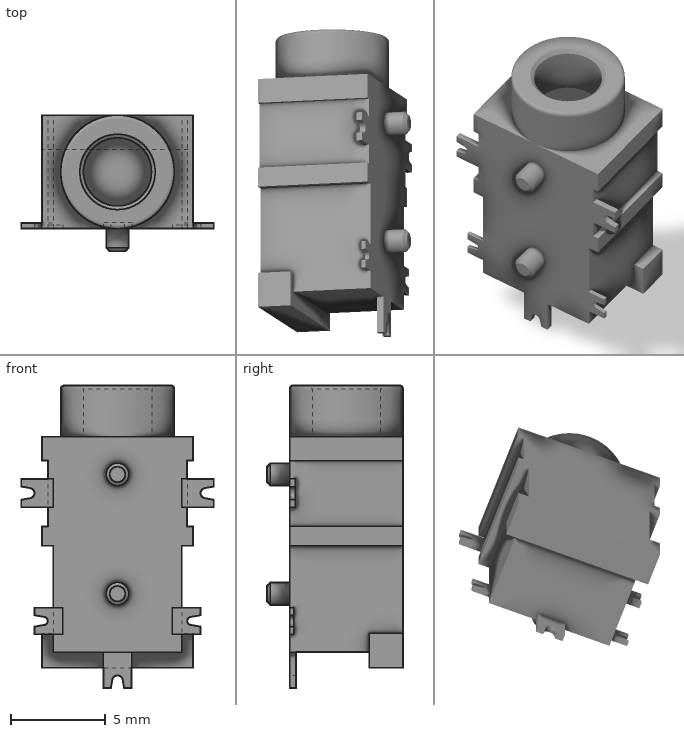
import cadquery as cq
import math


total_height = 16.0
collar_height = 2.7
head_height = 1.28
recess_height = 3.47
rib_height = 1.02
body_bottom = 1.9

body_top = total_height - collar_height
head_bottom = body_top - head_height
rib_top = head_bottom - recess_height
rib_bottom = rib_top - rib_height

body_width = 8.0
recess_width = 7.36
lower_width = 6.8
body_depth = 6.0
board_face = -body_depth / 2
back_face = body_depth / 2

foot_depth = 1.8
foot_top = 2.9
foot_bottom = 1.07

collar_diameter = body_depth
bore_diameter = 3.6
collar_edge_radius = 0.2
bore_chamfer = 0.2
bore_depth = collar_height

peg_diameter = 1.2
peg_length = 1.2
peg_chamfer = 0.2
peg_heights = (11.3, 5.0)

upper_span = 10.2
upper_inner_gap = lower_width
upper_width = 1.5
upper_thickness = 0.3
upper_height = 10.3
upper_mouth = 0.69
upper_notch_depth = 0.7

lower_span = 8.78
lower_inner_gap = 5.8
lower_terminal_width = 1.4
lower_thickness = 0.2
lower_height = 3.55
lower_mouth = 0.6
lower_notch_depth = 0.7

tail_width = upper_width
tail_thickness = 0.35
tail_mouth = 0.69
tail_notch_depth = 0.67

notch_taper = math.radians(10)


def centred_box(width, y_min, y_max, z_min, z_max):
    """Box centred on X = 0 between the given Y and Z limits."""
    return cq.Workplane("XY").box(
        width, y_max - y_min, z_max - z_min, centered=(True, False, False)
    ).translate((0, y_min, z_min))


def forked_terminal(length, width, thickness, mouth, notch_depth):
    """Flat terminal on the board face, its root at the origin and its forked tip toward +X.

    The notch narrows from its mouth and ends in an arc tangent to both sides.
    """
    sine = math.sin(notch_taper)
    cosine = math.cos(notch_taper)
    tangent = math.tan(notch_taper)
    end_radius = (mouth / 2 - notch_depth * tangent) / (1 / cosine - tangent)
    notch_end = length - notch_depth
    arc_start_x = notch_end + end_radius * (1 - sine)
    arc_start_z = end_radius * cosine
    outline = (
        cq.Workplane("XZ", origin=(0, board_face, 0))
        .moveTo(0, -width / 2)
        .lineTo(length, -width / 2)
        .lineTo(length, -mouth / 2)
        .lineTo(arc_start_x, -arc_start_z)
        .threePointArc((notch_end, 0), (arc_start_x, arc_start_z))
        .lineTo(length, mouth / 2)
        .lineTo(length, width / 2)
        .lineTo(0, width / 2)
        .close()
    )
    return outline.extrude(-thickness)


def terminal_pair(span, inner_gap, height, width, thickness, mouth, notch_depth):
    """Two mirrored side terminals whose tips are `span` apart."""
    length = (span - inner_gap) / 2
    right = forked_terminal(length, width, thickness, mouth, notch_depth)
    right = right.translate((inner_gap / 2, 0, height))
    left = right.mirror("YZ")
    return [right, left]


def make_tail_terminal():
    """Terminal hanging from the underside of the body, its forked tip toward -Z."""
    terminal = forked_terminal(body_bottom, tail_width, tail_thickness, tail_mouth, tail_notch_depth)
    return terminal.rotate((0, 0, 0), (0, 1, 0), 90).translate((0, 0, body_bottom))


def make_collar():
    """Round collar with a rounded outer rim."""
    return (
        cq.Workplane("XY", origin=(0, 0, body_top))
        .circle(collar_diameter / 2)
        .extrude(collar_height)
        .faces(">Z")
        .edges()
        .fillet(collar_edge_radius)
    )


def make_bore():
    """Plug bore from the top of the collar, flared at its mouth."""
    bore_radius = bore_diameter / 2
    mouth_radius = bore_radius + bore_chamfer
    bore_floor = total_height - bore_depth
    return (
        cq.Workplane("XZ")
        .moveTo(0, bore_floor)
        .lineTo(bore_radius, bore_floor)
        .lineTo(bore_radius, total_height - bore_chamfer)
        .lineTo(mouth_radius, total_height)
        .lineTo(0, total_height)
        .close()
        .revolve(360, (0, 0, 0), (0, 1, 0))
    )


def make_peg(height):
    """Locating peg with a chamfered tip, pointing toward -Y."""
    return (
        cq.Workplane("XZ", origin=(0, board_face, height))
        .circle(peg_diameter / 2)
        .extrude(peg_length)
        .faces("<Y")
        .edges()
        .chamfer(peg_chamfer)
    )


def make_housing(terminals):
    """Stepped body with foot, collar and pegs, pocketed for the terminals."""
    head = centred_box(body_width, board_face, back_face, head_bottom, body_top)
    waist = centred_box(recess_width, board_face, back_face, rib_top, head_bottom)
    rib = centred_box(body_width, board_face, back_face, rib_bottom, rib_top)
    lower_body = centred_box(lower_width, board_face, back_face, body_bottom, rib_bottom)
    foot = centred_box(body_width, back_face - foot_depth, back_face, foot_bottom, foot_top)
    solid = head.union(waist).union(rib).union(lower_body).union(foot)
    solid = solid.union(make_collar()).cut(make_bore())
    for height in peg_heights:
        solid = solid.union(make_peg(height))
    for terminal in terminals:
        solid = solid.cut(terminal)
    return solid


upper_terminals = terminal_pair(
    upper_span,
    upper_inner_gap,
    upper_height,
    upper_width,
    upper_thickness,
    upper_mouth,
    upper_notch_depth,
)
lower_terminals = terminal_pair(
    lower_span,
    lower_inner_gap,
    lower_height,
    lower_terminal_width,
    lower_thickness,
    lower_mouth,
    lower_notch_depth,
)
side_terminals = upper_terminals + lower_terminals
tail_terminal = make_tail_terminal()
housing = make_housing(side_terminals)

result = cq.Compound.makeCompound(
    [housing.val(), *[terminal.val() for terminal in side_terminals], tail_terminal.val()]
)